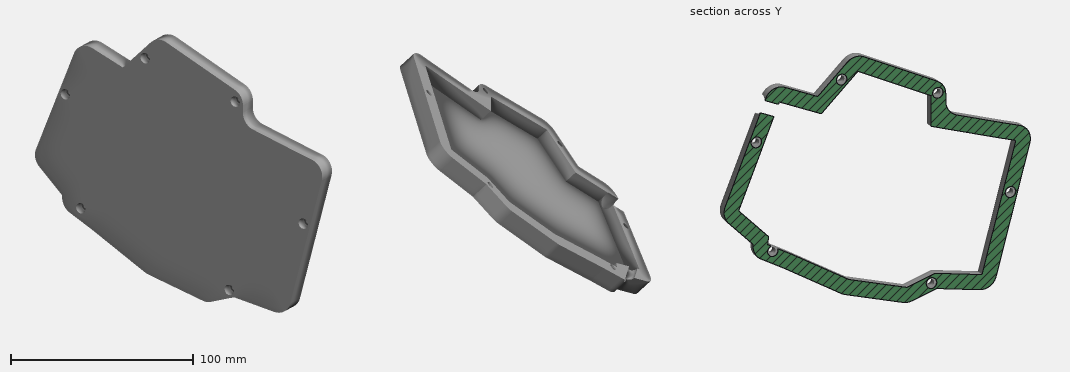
import cadquery as cq
import math

thickness = 10.7
floor_thickness = 3.0
wall = 9.0
shoulder_radius = 9.0
front_y = -thickness / 2
back_y = thickness / 2

top_left = (-63.47, 64.53)
upper_notch = (-35.73, 53.28)
top_peak = (-13.7, 75.24)
top_right = (40.76, 50.28)
shoulder = (40.76, 33.48)
right_bend = (75.5, 23.15)
right_upper = (93.21, 18.16)
right_lower = (68.69, -73.16)
lower_notch = (35.07, -67.81)
bottom_peak = (17.76, -73.93)
bottom_bend = (-20.65, -63.73)
lower_left_bend = (-55.55, -44.1)
lower_left = (-75.05, -33.93)
left_notch = (-74.34, -27.63)
left_lower = (-93.35, -9.2)
corners = [
    top_left,
    upper_notch,
    top_peak,
    top_right,
    shoulder,
    right_bend,
    right_upper,
    right_lower,
    lower_notch,
    bottom_peak,
    bottom_bend,
    lower_left_bend,
    lower_left,
    left_notch,
    left_lower,
]

screw_diameter = 4.0
head_diameter = 6.0
head_depth = 6.0
screw_positions = [
    (-72.3, 31.4),
    (-21.5, 61.1),
    (35.9, 45.8),
    (79.2, -17.5),
    (32.1, -64.1),
    (-62.5, -33.0),
]

opening_radius = 5.5
opening_depth = 6.6
opening_from_corner = 13.9

groove_radius = 2.7
groove_depth = 2.3
groove_start = (-78.9, -6.0)
groove_end = (-73.8, -38.0)


def plane_at(y):
    """XZ sketch plane at the given Y; extruding by a negative length goes towards +Y."""
    return cq.Workplane(cq.Plane(origin=(0, y, 0), xDir=(1, 0, 0), normal=(0, -1, 0)))


def inner_outline(y):
    """Sharp-cornered cavity outline, one wall width inside the outer outline."""
    return plane_at(y).polyline(corners).close().offset2D(-wall, "intersection")


def make_body():
    body = inner_outline(front_y).offset2D(wall, "arc").extrude(-thickness)
    shoulder_edge = cq.selectors.NearestToPointSelector((shoulder[0], 0, shoulder[1]))
    return body.edges("|Y").edges(shoulder_edge).fillet(shoulder_radius)


def make_cavity():
    return inner_outline(front_y + floor_thickness).extrude(floor_thickness - thickness)


def make_screw_holes():
    bores = plane_at(front_y).pushPoints(screw_positions).circle(screw_diameter / 2).extrude(-thickness)
    heads = plane_at(front_y).pushPoints(screw_positions).circle(head_diameter / 2).extrude(-head_depth)
    return bores.union(heads)


def cylinder_from(start, run_x, run_z, length, radius):
    """Cylinder starting at the point `start`, along the direction (run_x, 0, run_z)."""
    return cq.Workplane(cq.Solid.makeCylinder(radius, length, cq.Vector(*start), cq.Vector(run_x, 0, run_z)))


def make_wall_opening():
    run_x = left_lower[0] - top_left[0]
    run_z = left_lower[1] - top_left[1]
    fraction = opening_from_corner / math.hypot(run_x, run_z)
    start = (
        top_left[0] + fraction * run_x,
        back_y + opening_radius - opening_depth,
        top_left[1] + fraction * run_z,
    )
    return cylinder_from(start, -run_z, run_x, wall, opening_radius)


def make_groove():
    run_x = groove_end[0] - groove_start[0]
    run_z = groove_end[1] - groove_start[1]
    start = (groove_start[0], back_y + groove_radius - groove_depth, groove_start[1])
    return cylinder_from(start, run_x, run_z, math.hypot(run_x, run_z), groove_radius)


result = (
    make_body()
    .cut(make_cavity())
    .cut(make_screw_holes())
    .cut(make_wall_opening())
    .cut(make_groove())
)